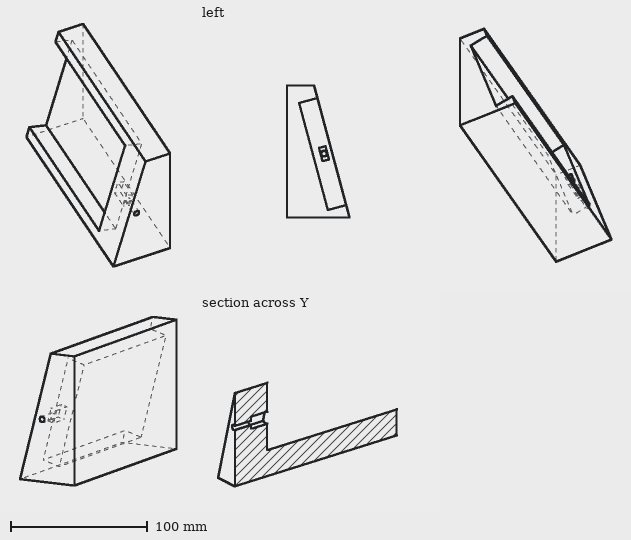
import cadquery as cq
import math

length = 150.0
top_depth = 20.0
height = 96.6
bottom_depth = 45.9

pocket_length = 120.0
pocket_width = 81.0
pocket_depth = 14.0

recess_thickness = 5.0
recess_width = 10.0
recess_length = 15.0
recess_center_depth = 6.0
cable_hole_diameter = 4.0

slope_angle = math.degrees(math.atan2(bottom_depth - top_depth, height))
slope_mid_y = (bottom_depth - top_depth) / 2


def place_on_slope(shape):
    """Move a shape so local Y points into the sloping face and local Z runs up it."""
    tilted = shape.rotate((0, 0, 0), (1, 0, 0), -slope_angle)
    return tilted.translate((0, slope_mid_y, height / 2))


def slope_block(x_start, x_size, depth_center, depth_size, width):
    """Box aligned with the sloping face and centred along its slope."""
    block = cq.Workplane("XY").box(x_size, depth_size, width, centered=(False, True, True))
    return place_on_slope(block.translate((x_start, depth_center, 0)))


def wedge_body():
    """Side outline extruded along X, with the front bottom edge at Y = 0."""
    outline = [
        (0, 0),
        (bottom_depth, 0),
        (bottom_depth, height),
        (bottom_depth - top_depth, height),
    ]
    return cq.Workplane("YZ").polyline(outline).close().extrude(length)


def cable_hole():
    """Round hole from the closed end of the pocket through the +X side."""
    hole = (
        cq.Workplane("YZ", origin=(pocket_length, 0, 0))
        .center(recess_center_depth, 0)
        .circle(cable_hole_diameter / 2)
        .extrude(length - pocket_length)
    )
    return place_on_slope(hole)


pocket = slope_block(0, pocket_length, 0, 2 * pocket_depth, pocket_width)
recess = slope_block(
    pocket_length, recess_length, recess_center_depth, recess_thickness, recess_width
)

result = wedge_body().cut(pocket).cut(recess).cut(cable_hole())